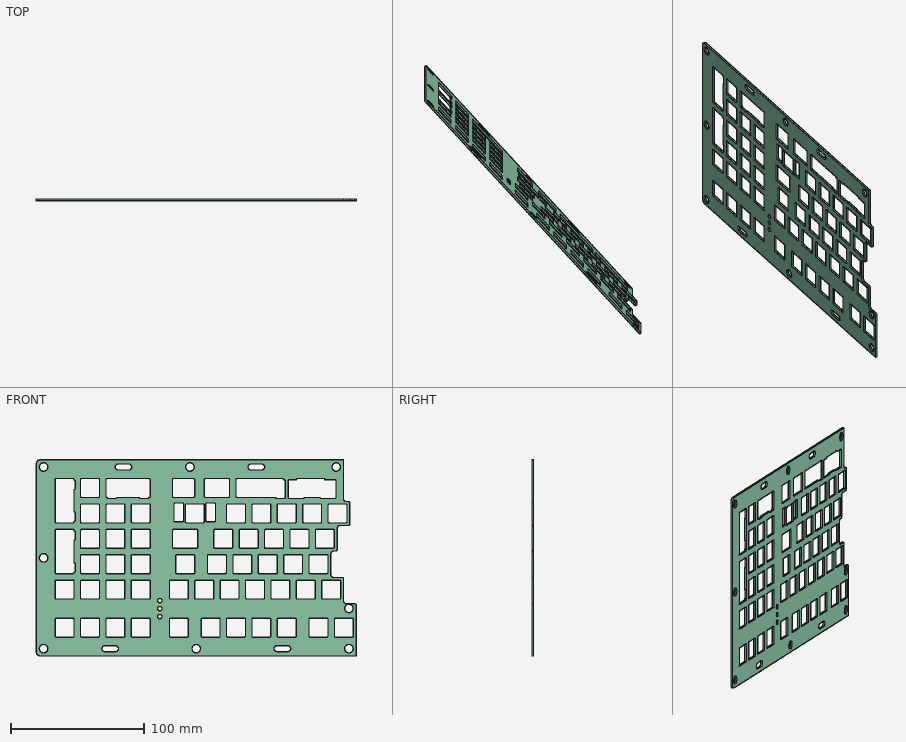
import cadquery as cq

WIDTH = 240.2
HEIGHT = 147.43
THICKNESS = 1.5
LEFT_CORNER_RADIUS = 3.2
STEP_FILLET_RADIUS = 2.0
STEP_ROUND_RADIUS = 1.2

UNIT = 19.05
BOTTOM_ROW = 5.5
GRID_MARGIN = (HEIGHT - BOTTOM_ROW * UNIT) / 2
FIRST_KEY_X = GRID_MARGIN
FIRST_KEY_Z = HEIGHT - GRID_MARGIN

LAST_COLUMN = 11
EDGE_COLUMNS = [10.5, 10.75, 10.25, 10, 10.5, LAST_COLUMN]
EDGE_MARGIN = WIDTH - FIRST_KEY_X - LAST_COLUMN * UNIT
STEP_HEIGHTS = [116.0, 97.95, 78.7, 59.05, 39.35]

SWITCH_SIZE = 14.0
OPENING_RADIUS = 0.5
SINGLE_KEYS = {
    0: [1],
    1: [1, 2, 3, 5.125, 6.75, 7.75, 8.75, 9.75, 10.75],
    2: [1, 2, 3, 6.25, 7.25, 8.25, 9.25, 10.25],
    3: [1, 2, 3, 4.75, 6, 7, 8, 9, 10],
    4: [0, 1, 2, 3, 4.5, 5.5, 6.5, 7.5, 8.5, 9.5, 10.5],
    BOTTOM_ROW: [0, 1, 2, 3, 4.5, 5.75, 6.75, 7.75, 8.75, 10, 11],
}
WIDE_KEYS = {
    0: [(2, 3), (4.625, 4.75), (5.875, 6.125), (7.125, 8.25), (9.5, 9.875)],
    2: [(4.625, 4.875)],
}
TALL_KEY_ROWS = [0, 2]

STABILIZER_WIDTH = 7.0
STABILIZER_LENGTH = 14.0
STABILIZER_OFFSET = 0.8
STABILIZER_SPREAD = 11.94
LONG_STABILIZER_SPREAD = UNIT
STABILIZED_KEYS = [
    (1, 5.125, STABILIZER_OFFSET, STABILIZER_SPREAD),
    (0, 2.5, -STABILIZER_OFFSET, STABILIZER_SPREAD),
    (0, 9.5, -STABILIZER_OFFSET, LONG_STABILIZER_SPREAD),
    (0, 9.625, -STABILIZER_OFFSET, STABILIZER_SPREAD),
    (0, 9.875, -STABILIZER_OFFSET, STABILIZER_SPREAD),
]

SCREW_DIAMETER = 6.2
SCREW_INSET = 5.57
STEP_SCREW_Z = 35.75
SLOT_LENGTH = 12.3
SLOT_WIDTH = 4.3
TOP_SLOT_INSET = 65.5
BOTTOM_SLOT_INSET = 55.5

LED_DIAMETER = 3.2
LED_PITCH = 6.0
LED_COLUMN = 3.75
LED_ROW = 4.75


def grid_x(column):
    return FIRST_KEY_X + column * UNIT


def grid_z(row):
    return FIRST_KEY_Z - row * UNIT


def plate():
    """Flat plate with a stepped right edge."""
    edges_x = [grid_x(column) + EDGE_MARGIN for column in EDGE_COLUMNS]
    outline = [(0, 0), (0, HEIGHT), (edges_x[0], HEIGHT)]
    inner_corners = []
    outer_corners = []
    for x_above, x_below, z in zip(edges_x, edges_x[1:], STEP_HEIGHTS):
        outline += [(x_above, z), (x_below, z)]
        inner_corners.append((min(x_above, x_below), z))
        outer_corners.append((max(x_above, x_below), z))
    outline.append((WIDTH, 0))
    body = cq.Workplane("XZ").polyline(outline).close().extrude(THICKNESS / 2, both=True)
    body = body.edges("|Y").edges("<X").fillet(LEFT_CORNER_RADIUS)
    body = round_corners(body, inner_corners, STEP_FILLET_RADIUS)
    return round_corners(body, outer_corners, STEP_ROUND_RADIUS)


def round_corners(body, corners, radius):
    """Round the edges along Y at the given (x, z) corners."""
    for x, z in corners:
        body = body.edges(cq.NearestToPointSelector((x, 0, z))).fillet(radius)
    return body


def extrude_through(sketch):
    return sketch.extrude(THICKNESS, both=True)


def rectangle_cutter(x, z, width, height):
    bar = extrude_through(cq.Workplane("XZ").center(x, z).rect(width, height))
    return bar.edges("|Y").fillet(OPENING_RADIUS)


def round_cutter(x, z, diameter):
    return extrude_through(cq.Workplane("XZ").center(x, z).circle(diameter / 2))


def slot_cutter(x, z):
    return extrude_through(cq.Workplane("XZ").center(x, z).slot2D(SLOT_LENGTH, SLOT_WIDTH))


def switch_cutter(columns, rows):
    """Opening for a switch placed anywhere between two columns and two rows."""
    width = SWITCH_SIZE + (columns[1] - columns[0]) * UNIT
    height = SWITCH_SIZE + (rows[1] - rows[0]) * UNIT
    return rectangle_cutter(grid_x(sum(columns) / 2), grid_z(sum(rows) / 2), width, height)


def stabilizer_cutters(row, column, offset, spread):
    """Pair of openings for a horizontal key, moved up by the offset."""
    x = grid_x(column)
    z = grid_z(row) + offset
    return [
        rectangle_cutter(x + side * spread, z, STABILIZER_WIDTH, STABILIZER_LENGTH)
        for side in (-1, 1)
    ]


def tall_stabilizer_cutters(column, row):
    """Pair of openings for a key that is two rows tall."""
    x = grid_x(column) + STABILIZER_OFFSET
    z = grid_z(row)
    return [
        rectangle_cutter(x, z + side * STABILIZER_SPREAD, STABILIZER_LENGTH, STABILIZER_WIDTH)
        for side in (-1, 1)
    ]


def key_cutters():
    cutters = []
    for row, columns in SINGLE_KEYS.items():
        cutters += [switch_cutter((column, column), (row, row)) for column in columns]
    for row, spans in WIDE_KEYS.items():
        cutters += [switch_cutter(span, (row, row)) for span in spans]
    for row in TALL_KEY_ROWS:
        cutters.append(switch_cutter((0, 0), (row, row + 1)))
        cutters += tall_stabilizer_cutters(0, row + 0.5)
    for row, column, offset, spread in STABILIZED_KEYS:
        cutters += stabilizer_cutters(row, column, offset, spread)
    return cutters


def fixing_cutters():
    left = SCREW_INSET
    right = WIDTH - SCREW_INSET
    bottom = SCREW_INSET
    top = HEIGHT - SCREW_INSET
    top_edge_length = grid_x(EDGE_COLUMNS[0]) + EDGE_MARGIN
    top_right = top_edge_length - SCREW_INSET
    screws = [
        (left, bottom),
        (WIDTH / 2, bottom),
        (right, bottom),
        (right, STEP_SCREW_Z),
        (left, HEIGHT / 2),
        (left, top),
        ((left + top_right) / 2, top),
        (top_right, top),
    ]
    cutters = [round_cutter(x, z, SCREW_DIAMETER) for x, z in screws]
    for x in (TOP_SLOT_INSET, top_edge_length - TOP_SLOT_INSET):
        cutters.append(slot_cutter(x, top))
    for x in (BOTTOM_SLOT_INSET, WIDTH - BOTTOM_SLOT_INSET):
        cutters.append(slot_cutter(x, bottom))
    return cutters


def led_cutters():
    x = grid_x(LED_COLUMN)
    z = grid_z(LED_ROW)
    return [round_cutter(x, z + step * LED_PITCH, LED_DIAMETER) for step in (-1, 0, 1)]


result = plate()
for cutter in key_cutters() + fixing_cutters() + led_cutters():
    result = result.cut(cutter)